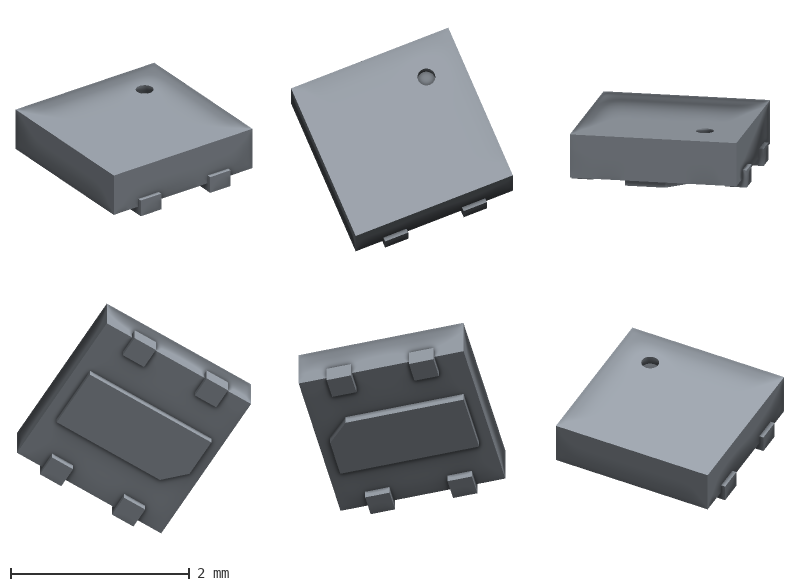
import cadquery as cq

body_side = 1.9
body_height = 0.5
standoff = 0.1

lead_span = 2.0
lead_length = 0.25
lead_width = 0.28
lead_height = 0.2
lead_pitch = 0.95

pad_width = 0.7
pad_length = 1.6
pad_chamfer = 0.24

marker_diameter = 0.2
marker_depth = 0.1
marker_offset = 0.5


def make_body():
    """Square package body, raised above the seating plane."""
    body = cq.Workplane("XY").workplane(offset=standoff).rect(body_side, body_side).extrude(body_height)
    return body.faces(">Z").workplane().center(-marker_offset, marker_offset).hole(marker_diameter, marker_depth)


def make_leads():
    """Four leads that wrap from the underside up the two X sides."""
    lead_center_spacing = lead_span - lead_length
    return (
        cq.Workplane("XY")
        .rarray(lead_center_spacing, lead_pitch, 2, 2)
        .rect(lead_length, lead_width)
        .extrude(lead_height)
    )


def make_pad():
    """Central pad, with the corner nearest the pin 1 marker cut off."""
    pad = cq.Workplane("XY").rect(pad_width, pad_length).extrude(standoff)
    return pad.edges("|Z and <X and >Y").chamfer(pad_chamfer)


result = make_body().union(make_leads()).union(make_pad())